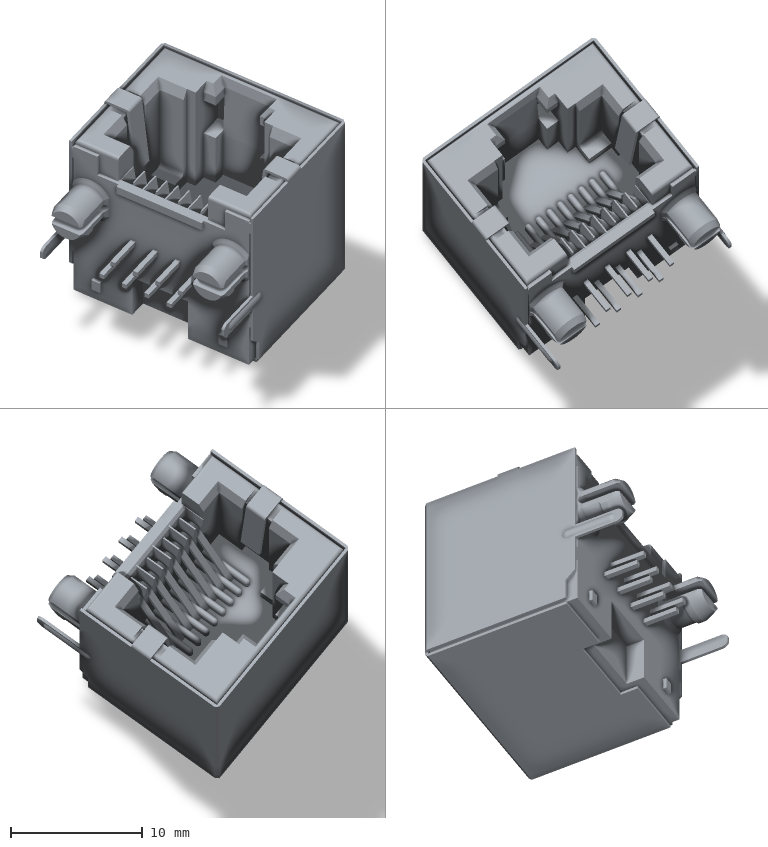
import cadquery as cq
import math


SHEET = 0.25
SHIELD_HALF_WIDTH = 8.26
SHIELD_INNER_HALF = SHIELD_HALF_WIDTH - SHEET
SHIELD_BACK = 13.16
SHIELD_TOP = 15.42
SIDE_BOTTOM = 0.43
PLATE_FRONT = 0.86
PLATE_NOTCH_HALF_WIDTH = 2.95
PLATE_NOTCH_END = 2.33
SIDE_CUT_DEPTH = 0.81
SIDE_CUT_LOW_Z = 2.23
SIDE_CUT_HIGH_Z = 2.95

TAIL_Z = 6.88
TAIL_HALF_HEIGHT = 0.62
TAIL_ROOT = 0.52
TAIL_TIP = -4.09
TAIL_TIP_ROUND = 0.5
TAIL_TIP_HALF = 0.3
TAIL_ARC_DEPTH = 0.35
TAIL_ARC_HALF = 0.48
RIB_HALF_HEIGHT = 0.41
RIB_PROUD = 0.15
RIB_START = 1.1
RIB_END = -3.45

UPPER_TAB = (6.37, 13.82, 14.85)
LOWER_TAB = (6.21, 4.23, 5.49)
TABS = (UPPER_TAB, LOWER_TAB)

CLIP_TOP = 15.75
CLIP_FRONT = 4.93
CLIP_BACK = 6.73
CLIP_FACE_X = 6.0
CLIP_TIP_X = 5.35
CLIP_TIP_Z = 9.59

HOUSING_HALF_WIDTH = 7.88
HOUSING_BACK = 12.83
HOUSING_BOTTOM = 0.33
HOUSING_TOP = SHIELD_TOP
RIM_FACE_Y = 0.3
RIM_STEP_Z = 14.99
RIM_STEP_HALF_WIDTH = 5.73
RIM_FILLET = 0.28

CAVITY_FLOOR = 5.86
LEAD_IN = 0.8
LEAD_IN_WIDTH = 0.45
CAVITY_HALF_WIDTH = 5.99
CAVITY_FRONT = 2.4
CAVITY_BACK = 9.23
STEP_HALF_WIDTH = 3.86
STEP_BACK = 9.7
CHANNEL_HALF_WIDTH = 3.09
CHANNEL_BACK = 10.82
LATCH_HALF_WIDTH = 2.0
LATCH_LEAD_IN_WIDTH = 0.5
LATCH_TOP_BACK = 12.39
LATCH_MID_BACK = 12.13
LATCH_LOW_BACK = 11.87
LATCH_SLOPE_END_Z = 10.0
WINDOW_BOTTOM = 10.42
WINDOW_TOP = 13.77
LEDGE_Z = 6.87
LEDGE_FRONT = 7.99
LEDGE_FILLET = 0.36

CLIP_SLOT_FRONT = 4.57
CLIP_SLOT_BACK = 7.15
CLIP_SLOT_WALL = 6.43
CLIP_SLOT_OUTER = 7.59
CLIP_SLOT_DIP = 0.41

MOUTH_HALF_WIDTH = 4.04
MOUTH_SILL = 13.1
CHAMBER_FRONT = 0.52
CHAMBER_CHAMFER = 0.25
CHAMBER_SLOPE_WIDTH = 0.14
CHAMBER_SLOPE_HEIGHT = 0.69
CHAMBER_WALL_Y = CHAMBER_FRONT + CHAMBER_CHAMFER + CHAMBER_SLOPE_WIDTH
CONTACT_COUNT = 8
CONTACT_ROW = 7.07
CONTACT_PITCH = CONTACT_ROW / (CONTACT_COUNT - 1)
COMB_BACK = 6.76
COMB_HEIGHT = 0.78
COMB_WIDTH = 0.48
CONTACT_WIDTH = CONTACT_PITCH - COMB_WIDTH
CONTACT_THICKNESS = 0.35
CONTACT_FOOT_Y = 5.47
CONTACT_BEND_Y = 2.19
CONTACT_BEND_Z = 11.21
CONTACT_BEND_RADIUS = 0.6
CONTACT_BEND_END = 30
CONTACT_LEG_Y = 0.93
CONTACT_LEG_DROP = 0.86
PARTITION_TOP = 13.0
PARTITION_TOP_WIDTH = 0.12
PARTITION_TAPER_HEIGHT = 1.2

PIN_SIZE = 0.41
PIN_END = -2.85
PIN_UPPER_Z = 7.75
PIN_LOWER_Z = 6.0
STANDOFF = 0.3
BAR_HALF_WIDTH = 3.83
BAR_HEIGHT = 0.72
FOOT_X = 5.71
FOOT_Z = 1.93
FOOT_WIDTH = 0.76
FOOT_HEIGHT = 0.97
BASE_NOTCH_X = -0.09
BASE_NOTCH_WIDTH = 5.02
BASE_NOTCH_TOP = 4.15
BASE_NOTCH_DEPTH = 1.52

POST_X = 6.35
POST_Z = 10.32
POST_RADIUS = 1.62
POST_HALF_WIDTH = 1.38
POST_END = 3.5
POST_END_RADIUS = 1.31
POST_TAPER_START = 2.98
BARB_RADIUS = 1.76
BARB_START = 1.76
BARB_CREST = 1.93
BARB_TAPER_START = 2.47
ROOT_FLARE = 0.36
ROOT_LENGTH = 0.31
POST_SLOT = 0.78
POST_SLOT_FLOOR = 0.05
POST_SLOT_FILLET = 0.38

SIDES = (-1, 1)
ARC_INSET = 1 - math.sqrt(0.5)
CONTACT_XS = [(i - (CONTACT_COUNT - 1) / 2) * CONTACT_PITCH for i in range(CONTACT_COUNT)]
COMB_XS = [(i - CONTACT_COUNT / 2) * CONTACT_PITCH for i in range(CONTACT_COUNT + 1)]


def block(x0, x1, y0, y1, z0, z1):
    """Box between two X, two Y and two Z positions, in either order."""
    box = cq.Workplane("XY").box(abs(x1 - x0), abs(y1 - y0), abs(z1 - z0))
    return box.translate(((x0 + x1) / 2, (y0 + y1) / 2, (z0 + z1) / 2))


def along_x(points, x_middle, width):
    """Prism along X with a (Y, Z) outline."""
    return cq.Workplane("YZ", origin=(x_middle - width / 2, 0, 0)).polyline(points).close().extrude(width)




def shield_shell():
    """Back, bottom and two sides of bent sheet, with the bottom plate notched at the front."""
    outer = block(-SHIELD_HALF_WIDTH, SHIELD_HALF_WIDTH, 0, SHIELD_BACK, 0, SHIELD_TOP)
    outer = outer.edges("|Z and >Y").chamfer(SHEET).edges("|X and >Y and <Z").chamfer(SHEET)
    inner = block(-SHIELD_INNER_HALF, SHIELD_INNER_HALF, 0, SHIELD_BACK - SHEET, SHEET, SHIELD_TOP)
    shell = outer.cut(inner)
    shell = shell.cut(block(-SHIELD_INNER_HALF, SHIELD_INNER_HALF, 0, PLATE_FRONT, 0, SHEET))
    notch = block(-PLATE_NOTCH_HALF_WIDTH, PLATE_NOTCH_HALF_WIDTH, 0, PLATE_NOTCH_END, 0, SHEET)
    shell = shell.cut(notch)
    corner = [(0, 0), (0, SIDE_CUT_HIGH_Z), (SIDE_CUT_DEPTH, SIDE_CUT_LOW_Z), (SIDE_CUT_DEPTH, 0)]
    shell = shell.cut(along_x(corner, 0, 2 * SHIELD_HALF_WIDTH))
    for side in SIDES:
        below_side = block(
            side * SHIELD_INNER_HALF, side * SHIELD_HALF_WIDTH, 0, SHIELD_BACK, 0, SIDE_BOTTOM
        )
        shell = shell.cut(below_side)
    return shell


def tail(side):
    """Flat board tail with a rounded tip, in the plane of the shield side."""
    shoulder = TAIL_TIP + TAIL_TIP_ROUND
    bulge_y = shoulder - TAIL_ARC_DEPTH
    outline = (
        cq.Workplane("YZ", origin=(SHIELD_INNER_HALF, 0, TAIL_Z))
        .moveTo(TAIL_ROOT, TAIL_HALF_HEIGHT)
        .lineTo(shoulder, TAIL_HALF_HEIGHT)
        .threePointArc((bulge_y, TAIL_ARC_HALF), (TAIL_TIP, TAIL_TIP_HALF))
        .lineTo(TAIL_TIP, -TAIL_TIP_HALF)
        .threePointArc((bulge_y, -TAIL_ARC_HALF), (shoulder, -TAIL_HALF_HEIGHT))
        .lineTo(TAIL_ROOT, -TAIL_HALF_HEIGHT)
        .close()
    )
    plate = outline.extrude(SHEET)
    return plate if side > 0 else plate.mirror("YZ")


def tail_rib(side):
    """Pressed rib: a bar of round section with ball ends, standing out of the shield side."""
    radius = (RIB_HALF_HEIGHT**2 + RIB_PROUD**2) / (2 * RIB_PROUD)
    axis_x = SHIELD_HALF_WIDTH + RIB_PROUD - radius
    y_low = RIB_END + RIB_HALF_HEIGHT
    y_high = RIB_START - RIB_HALF_HEIGHT
    rod = cq.Workplane("XZ", origin=(axis_x, y_high, TAIL_Z)).circle(radius).extrude(y_high - y_low)
    for y in (y_low, y_high):
        rod = rod.union(cq.Workplane("XY").sphere(radius).translate((axis_x, y, TAIL_Z)))
    outside = block(
        SHIELD_INNER_HALF + SHEET / 2,
        SHIELD_HALF_WIDTH + RIB_PROUD,
        RIB_END,
        RIB_START,
        TAIL_Z - RIB_HALF_HEIGHT,
        TAIL_Z + RIB_HALF_HEIGHT,
    )
    rib = rod.intersect(outside)
    return rib if side > 0 else rib.mirror("YZ")


def tab(side, inner_x, bottom, top):
    """Tab of sheet lying flush in the board face."""
    return block(side * inner_x, side * SHIELD_HALF_WIDTH, 0, SHEET, bottom, top)


def clip(side):
    """Strip folded over the rim with its sloping leg inside the cavity."""
    under = CLIP_TOP - SHEET
    arc_inset = SHEET * ARC_INSET
    profile = (
        cq.Workplane("XZ", origin=(0, CLIP_BACK, 0))
        .moveTo(SHIELD_INNER_HALF, SHIELD_TOP - SHEET)
        .lineTo(SHIELD_HALF_WIDTH, SHIELD_TOP - SHEET)
        .lineTo(SHIELD_HALF_WIDTH, under)
        .threePointArc(
            (SHIELD_HALF_WIDTH - arc_inset, CLIP_TOP - arc_inset), (SHIELD_INNER_HALF, CLIP_TOP)
        )
        .lineTo(CLIP_FACE_X + SHEET, CLIP_TOP)
        .threePointArc((CLIP_FACE_X + arc_inset, CLIP_TOP - arc_inset), (CLIP_FACE_X, under))
        .lineTo(CLIP_TIP_X, CLIP_TIP_Z)
        .lineTo(CLIP_TIP_X + SHEET, CLIP_TIP_Z)
        .lineTo(CLIP_FACE_X + SHEET, under)
        .lineTo(SHIELD_INNER_HALF, under)
        .close()
    )
    strip = profile.extrude(CLIP_BACK - CLIP_FRONT)
    return strip if side > 0 else strip.mirror("YZ")


def make_shield():
    shield = shield_shell()
    for side in SIDES:
        shield = shield.union(tail(side)).union(tail_rib(side)).union(clip(side))
        for inner_x, bottom, top in TABS:
            shield = shield.union(tab(side, inner_x, bottom, top))
    return shield




def housing_block():
    """Block with rounded rim; its upper board face is set back behind the wall below it."""
    body = block(
        -HOUSING_HALF_WIDTH, HOUSING_HALF_WIDTH, RIM_FACE_Y, HOUSING_BACK, HOUSING_BOTTOM, HOUSING_TOP
    )
    body = body.faces(">Z").edges().fillet(RIM_FILLET)
    wall = block(-HOUSING_HALF_WIDTH, HOUSING_HALF_WIDTH, 0, RIM_FACE_Y, HOUSING_BOTTOM, RIM_STEP_Z)
    wall = wall.cut(block(-RIM_STEP_HALF_WIDTH, RIM_STEP_HALF_WIDTH, 0, RIM_FACE_Y, MOUTH_SILL, RIM_STEP_Z))
    return body.union(wall)


def lead_in(half_width, front, back):
    """Tapered entry whose small end fits a rectangle between two Y positions."""
    angle = math.degrees(math.atan(LEAD_IN_WIDTH / LEAD_IN))
    return (
        cq.Workplane("XY", origin=(0, (front + back) / 2, HOUSING_TOP))
        .rect(2 * (half_width + LEAD_IN_WIDTH), back - front + 2 * LEAD_IN_WIDTH)
        .extrude(-LEAD_IN, taper=angle)
    )


def latch_channel():
    """Narrow channel behind the plug latch, with sloping back and widened entry."""
    entry_z = HOUSING_TOP - LEAD_IN
    outline = [
        (CAVITY_BACK, HOUSING_TOP),
        (LATCH_TOP_BACK, HOUSING_TOP),
        (LATCH_MID_BACK, entry_z),
        (LATCH_LOW_BACK, LATCH_SLOPE_END_Z),
        (LATCH_LOW_BACK, CAVITY_FLOOR),
        (CAVITY_BACK, CAVITY_FLOOR),
    ]
    channel = along_x(outline, 0, 2 * LATCH_HALF_WIDTH)
    flank = LATCH_HALF_WIDTH + LATCH_LEAD_IN_WIDTH
    entry_outline = [
        (-flank, HOUSING_TOP),
        (flank, HOUSING_TOP),
        (LATCH_HALF_WIDTH, entry_z),
        (-LATCH_HALF_WIDTH, entry_z),
    ]
    wedge = cq.Workplane("XZ", origin=(0, LATCH_TOP_BACK, 0)).polyline(entry_outline).close()
    wedge = wedge.extrude(LATCH_TOP_BACK - CHANNEL_BACK)
    back_slope = [
        (CHANNEL_BACK, HOUSING_TOP),
        (LATCH_TOP_BACK, HOUSING_TOP),
        (LATCH_MID_BACK, entry_z),
        (CHANNEL_BACK, entry_z),
    ]
    wedge = wedge.intersect(along_x(back_slope, 0, 2 * flank))
    shoulder_slope = [
        (CHANNEL_BACK, HOUSING_TOP),
        (CHANNEL_BACK + LEAD_IN_WIDTH, HOUSING_TOP),
        (CHANNEL_BACK, entry_z),
    ]
    return channel.union(wedge).union(along_x(shoulder_slope, 0, 2 * CHANNEL_HALF_WIDTH))


def plug_cavity():
    """Stepped cavity for the plug, open at the top."""
    cavity = block(
        -CAVITY_HALF_WIDTH, CAVITY_HALF_WIDTH, CAVITY_FRONT, CAVITY_BACK, CAVITY_FLOOR, HOUSING_TOP
    )
    cavity = cavity.union(lead_in(CAVITY_HALF_WIDTH, CAVITY_FRONT, CAVITY_BACK))
    cavity = cavity.union(
        block(-STEP_HALF_WIDTH, STEP_HALF_WIDTH, CAVITY_FRONT, STEP_BACK, CAVITY_FLOOR, HOUSING_TOP)
    )
    cavity = cavity.union(
        block(-CHANNEL_HALF_WIDTH, CHANNEL_HALF_WIDTH, CAVITY_FRONT, CHANNEL_BACK, CAVITY_FLOOR, HOUSING_TOP)
    )
    return cavity.union(latch_channel())


def latch_window(side):
    """Window through the back wall, between the latch shoulder and the block below it."""
    return block(
        side * LATCH_HALF_WIDTH,
        side * CHANNEL_HALF_WIDTH,
        CHANNEL_BACK,
        HOUSING_BACK,
        WINDOW_BOTTOM,
        WINDOW_TOP,
    )


def clip_slot(side):
    """Dip in the rim under the spring clip, and the groove in the cavity wall behind its leg."""
    outline = [
        (side * CLIP_SLOT_OUTER, HOUSING_TOP),
        (side * CLIP_SLOT_WALL, HOUSING_TOP - CLIP_SLOT_DIP),
        (side * CLIP_SLOT_WALL, CAVITY_FLOOR),
        (side * STEP_HALF_WIDTH, CAVITY_FLOOR),
        (side * STEP_HALF_WIDTH, HOUSING_TOP),
    ]
    slot = cq.Workplane("XZ", origin=(0, CLIP_SLOT_BACK, 0)).polyline(outline).close()
    return slot.extrude(CLIP_SLOT_BACK - CLIP_SLOT_FRONT)


def corner_ledge(side):
    """Ledge on the cavity floor, blended into the back wall."""
    fillet_y = CAVITY_BACK - LEDGE_FILLET
    inset = LEDGE_FILLET * ARC_INSET
    ledge = (
        cq.Workplane("YZ", origin=(STEP_HALF_WIDTH, 0, 0))
        .moveTo(LEDGE_FRONT, CAVITY_FLOOR)
        .lineTo(LEDGE_FRONT, LEDGE_Z)
        .lineTo(fillet_y, LEDGE_Z)
        .threePointArc((CAVITY_BACK - inset, LEDGE_Z + inset), (CAVITY_BACK, LEDGE_Z + LEDGE_FILLET))
        .lineTo(CAVITY_BACK, CAVITY_FLOOR)
        .close()
        .extrude(CAVITY_HALF_WIDTH - STEP_HALF_WIDTH)
    )
    return ledge if side > 0 else ledge.mirror("YZ")


def mouth_opening():
    """Gap in the rim above the sill, and the contact chamber behind the sill."""
    gap = block(-MOUTH_HALF_WIDTH, MOUTH_HALF_WIDTH, 0, CAVITY_FRONT, MOUTH_SILL, HOUSING_TOP)
    chamfer_z = MOUTH_SILL - CHAMBER_CHAMFER
    chamber = [
        (CHAMBER_FRONT, MOUTH_SILL),
        (CHAMBER_FRONT + CHAMBER_CHAMFER, chamfer_z),
        (CHAMBER_WALL_Y, chamfer_z - CHAMBER_SLOPE_HEIGHT),
        (CHAMBER_WALL_Y, CAVITY_FLOOR),
        (CAVITY_FRONT, CAVITY_FLOOR),
        (CAVITY_FRONT, MOUTH_SILL),
    ]
    return gap.union(along_x(chamber, 0, 2 * MOUTH_HALF_WIDTH))


def contact(x):
    """Contact strip: a leaning leg behind the sill, a bend, and a slope down to the cavity floor."""
    slope = math.atan2(CONTACT_BEND_Z - CAVITY_FLOOR, CONTACT_FOOT_Y - CONTACT_BEND_Y)
    start = math.pi / 2 - slope
    end = math.pi / 2 + math.radians(CONTACT_BEND_END)
    centre_y = CONTACT_BEND_Y - CONTACT_BEND_RADIUS * math.cos(start)
    centre_z = CONTACT_BEND_Z - CONTACT_BEND_RADIUS * math.sin(start)

    def on_bend(angle, radius):
        return (centre_y + radius * math.cos(angle), centre_z + radius * math.sin(angle))

    inner_radius = CONTACT_BEND_RADIUS - CONTACT_THICKNESS
    middle = (start + end) / 2
    leg_z = on_bend(end, CONTACT_BEND_RADIUS)[1] - CONTACT_LEG_DROP
    inner_foot_y = CONTACT_FOOT_Y - CONTACT_THICKNESS / math.sin(slope)
    return (
        cq.Workplane("YZ", origin=(x - CONTACT_WIDTH / 2, 0, 0))
        .moveTo(CONTACT_FOOT_Y, CAVITY_FLOOR)
        .lineTo(CONTACT_BEND_Y, CONTACT_BEND_Z)
        .threePointArc(on_bend(middle, CONTACT_BEND_RADIUS), on_bend(end, CONTACT_BEND_RADIUS))
        .lineTo(CONTACT_LEG_Y, leg_z)
        .lineTo(CONTACT_LEG_Y, CAVITY_FLOOR)
        .lineTo(CONTACT_LEG_Y + CONTACT_THICKNESS, CAVITY_FLOOR)
        .lineTo(CONTACT_LEG_Y + CONTACT_THICKNESS, leg_z)
        .lineTo(*on_bend(end, inner_radius))
        .threePointArc(on_bend(middle, inner_radius), on_bend(start, inner_radius))
        .lineTo(inner_foot_y, CAVITY_FLOOR)
        .close()
        .extrude(CONTACT_WIDTH)
    )


def comb_ridge(x):
    """Round-topped ridge on the cavity floor between two contacts."""
    radius = COMB_WIDTH / 2
    start = CAVITY_FRONT
    straight = COMB_BACK - radius - start
    middle_y = start + straight / 2
    ridge = (
        cq.Workplane("XY", origin=(x, middle_y, CAVITY_FLOOR))
        .rect(COMB_WIDTH, straight)
        .extrude(COMB_HEIGHT - radius)
    )
    crest_z = CAVITY_FLOOR + COMB_HEIGHT - radius
    crest = cq.Workplane("XZ", origin=(x, start + straight, crest_z)).circle(radius).extrude(straight)
    nose = cq.Workplane("XY").sphere(radius).translate((x, start + straight, crest_z))
    nose_base = (
        cq.Workplane("XY", origin=(x, start + straight, CAVITY_FLOOR))
        .circle(radius)
        .extrude(COMB_HEIGHT - radius)
    )
    return ridge.union(crest).union(nose).union(nose_base)


def partition(index):
    """Wall between two contacts, thinning to its top; every other one reaches the sill."""
    x = COMB_XS[index]
    front = CHAMBER_FRONT if index % 2 == 0 else CHAMBER_WALL_Y
    half = COMB_WIDTH / 2
    top_half = PARTITION_TOP_WIDTH / 2
    taper_z = PARTITION_TOP - PARTITION_TAPER_HEIGHT
    outline = [
        (x - half, CAVITY_FLOOR),
        (x - half, taper_z),
        (x - top_half, PARTITION_TOP),
        (x + top_half, PARTITION_TOP),
        (x + half, taper_z),
        (x + half, CAVITY_FLOOR),
    ]
    wall = cq.Workplane("XZ", origin=(0, CAVITY_FRONT, 0)).polyline(outline).close()
    return wall.extrude(CAVITY_FRONT - front)


def post_half(profile, upper):
    """Half of a round post turned from (radius, distance) points, above or below its middle."""
    turned = cq.Workplane("XY").polyline(profile).close().revolve(360, (0, 0, 0), (0, 1, 0))
    z_end = BARB_RADIUS if upper else -BARB_RADIUS
    return turned.intersect(block(-POST_HALF_WIDTH, POST_HALF_WIDTH, 0, -POST_END, 0, z_end))


def post_root():
    """Flared root with the round and flat sides of the post."""
    radius = POST_RADIUS + ROOT_FLARE
    half_width = POST_HALF_WIDTH + ROOT_FLARE
    flat = math.sqrt(radius**2 - half_width**2)
    return (
        cq.Workplane("XZ")
        .moveTo(-half_width, -flat)
        .threePointArc((0, -radius), (half_width, -flat))
        .lineTo(half_width, flat)
        .threePointArc((0, radius), (-half_width, flat))
        .close()
        .extrude(ROOT_LENGTH, taper=math.degrees(math.atan(ROOT_FLARE / ROOT_LENGTH)))
    )


def post(side):
    """Split board post: plain upper prong, barbed lower prong."""
    plain = [
        (0, 0),
        (POST_RADIUS, 0),
        (POST_RADIUS, -POST_TAPER_START),
        (POST_END_RADIUS, -POST_END),
        (0, -POST_END),
    ]
    barbed = [
        (0, 0),
        (POST_RADIUS, 0),
        (POST_RADIUS, -BARB_START),
        (BARB_RADIUS, -BARB_CREST),
        (BARB_RADIUS, -BARB_TAPER_START),
        (POST_END_RADIUS, -POST_END),
        (0, -POST_END),
    ]
    shape = post_half(plain, True).union(post_half(barbed, False)).union(post_root())
    slot_half_width = POST_HALF_WIDTH + ROOT_FLARE
    slot = block(
        -slot_half_width, slot_half_width, -POST_SLOT_FLOOR, -POST_END, -POST_SLOT / 2, POST_SLOT / 2
    )
    slot = slot.edges("|X and >Y").fillet(POST_SLOT_FILLET)
    shape = shape.cut(slot).translate((side * POST_X, 0, POST_Z))
    trim = block(
        -HOUSING_HALF_WIDTH, HOUSING_HALF_WIDTH, 0, -POST_END, HOUSING_BOTTOM, HOUSING_TOP
    )
    return shape.intersect(trim)


def pin(index):
    """Square board pin; the pins alternate between two rows."""
    x = CONTACT_XS[index]
    z = PIN_LOWER_Z if index % 2 == 0 else PIN_UPPER_Z
    half = PIN_SIZE / 2
    return block(x - half, x + half, 0, PIN_END, z - half, z + half)


def standoffs():
    """Bar under the mouth and the two feet that rest on the board."""
    pads = block(-BAR_HALF_WIDTH, BAR_HALF_WIDTH, 0, -STANDOFF, MOUTH_SILL - BAR_HEIGHT, MOUTH_SILL)
    for side in SIDES:
        foot = cq.Workplane("XY").box(FOOT_WIDTH, STANDOFF, FOOT_HEIGHT)
        pads = pads.union(foot.translate((side * FOOT_X, -STANDOFF / 2, FOOT_Z)))
    return pads


def base_notch():
    """Notch in the board face, open at the bottom."""
    half = BASE_NOTCH_WIDTH / 2
    return block(
        BASE_NOTCH_X - half, BASE_NOTCH_X + half, 0, BASE_NOTCH_DEPTH, HOUSING_BOTTOM, BASE_NOTCH_TOP
    )


def make_housing():
    housing = housing_block().cut(plug_cavity()).cut(mouth_opening()).cut(base_notch())
    for side in SIDES:
        housing = housing.cut(latch_window(side)).cut(clip_slot(side))
        for inner_x, bottom, top in TABS:
            housing = housing.cut(tab(side, inner_x, bottom, top))
    for side in SIDES:
        housing = housing.union(corner_ledge(side)).union(post(side))
    for index, x in enumerate(COMB_XS):
        housing = housing.union(partition(index)).union(comb_ridge(x))
    for x in CONTACT_XS:
        housing = housing.union(contact(x))
    for index in range(CONTACT_COUNT):
        housing = housing.union(pin(index))
    return housing.union(standoffs())


shield = make_shield()
housing = make_housing()
result = cq.Compound.makeCompound([shield.solids().val(), housing.solids().val()])